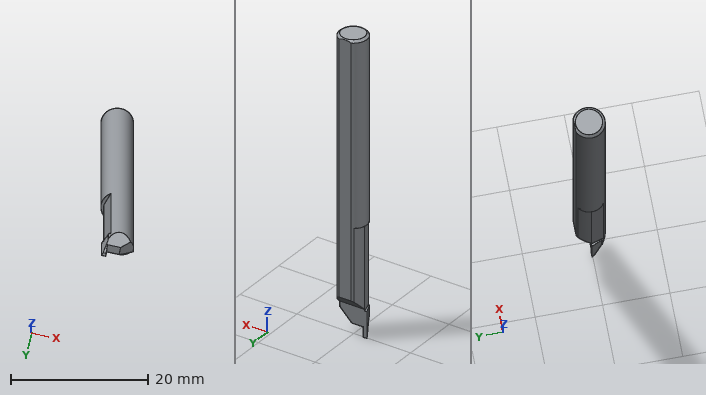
import cadquery as cq
import math

TOTAL_LENGTH = 50.8
SHANK_RADIUS = 2.4
FLAT_Y = 2.15
END_CHAMFER_RADIAL = 0.4
END_CHAMFER_HEIGHT = 0.35

NECK_TOP = 19.15
NECK_BOTTOM = 4.5
NECK_X = -2.0
NECK_END_X = -1.4
NECK_END_Y = math.sqrt(SHANK_RADIUS**2 - NECK_END_X**2)
NECK_BOW = NECK_END_X - NECK_X
NECK_ARC_RADIUS = (NECK_BOW**2 + NECK_END_Y**2) / (2 * NECK_BOW)
NECK_MID_Y = NECK_END_Y / 2
NECK_MID_X = NECK_X + NECK_ARC_RADIUS - math.sqrt(NECK_ARC_RADIUS**2 - NECK_MID_Y**2)

RAKE_TOP = 4.8
TIP_INNER_X = -1.75
TIP_SIDE_END_X = TIP_INNER_X
TIP_SIDE_END_Y = -1.5
TIP_LAND_Y = -0.4
TIP_LAND_Z = 0.15
BODY_BOTTOM = 1.75
CORNER_START_X = 0.25
FRONT_SLANT_TOP = 4.35

MARGIN = 0.5
OUTSIDE = SHANK_RADIUS + MARGIN


def prism_along_z(profile, bottom, top):
    """Extrude a closed XY profile between two heights."""
    return profile.close().extrude(top - bottom).translate((0, 0, bottom))


def make_shank():
    bar = cq.Workplane("XY").circle(SHANK_RADIUS).extrude(TOTAL_LENGTH)
    bar = bar.faces(">Z").chamfer(END_CHAMFER_HEIGHT, END_CHAMFER_RADIAL)
    flat = cq.Workplane("XY").box(
        2 * OUTSIDE, MARGIN, TOTAL_LENGTH, centered=(True, False, False)
    )
    return bar.cut(flat.translate((0, FLAT_Y, 0)))


def neck_cutter():
    """Bowed on the +Y half, flat and sloping inward on the -Y half."""
    profile = (
        cq.Workplane("XY")
        .moveTo(-OUTSIDE, -NECK_END_Y)
        .lineTo(NECK_END_X, -NECK_END_Y)
        .lineTo(NECK_X, 0)
        .threePointArc((NECK_MID_X, NECK_MID_Y), (NECK_END_X, NECK_END_Y))
        .lineTo(-OUTSIDE, NECK_END_Y)
    )
    return prism_along_z(profile, NECK_BOTTOM, NECK_TOP)


def tip_side_cutter():
    """Clearance behind the cutting edge, on the -X side of the tip."""
    profile = (
        cq.Workplane("XY")
        .moveTo(-SHANK_RADIUS, 0)
        .lineTo(TIP_SIDE_END_X, TIP_SIDE_END_Y)
        .lineTo(TIP_SIDE_END_X, -OUTSIDE)
        .lineTo(-OUTSIDE, -OUTSIDE)
        .lineTo(-OUTSIDE, 0)
    )
    return prism_along_z(profile, 0, NECK_BOTTOM)


def rake_cutter():
    """Removes the +Y half at the tip, running out at 45 degrees."""
    return (
        cq.Workplane("YZ")
        .moveTo(0, -MARGIN)
        .lineTo(0, RAKE_TOP)
        .lineTo(OUTSIDE, RAKE_TOP + OUTSIDE)
        .lineTo(OUTSIDE, -MARGIN)
        .close()
        .extrude(OUTSIDE, both=True)
    )


def front_slant_cutter():
    """Slopes the -Y side down to a narrow land under the cutting edge."""
    slope = (FRONT_SLANT_TOP - TIP_LAND_Z) / (SHANK_RADIUS + TIP_LAND_Y)
    return (
        cq.Workplane("YZ")
        .moveTo(0, 0)
        .lineTo(TIP_LAND_Y, TIP_LAND_Z)
        .lineTo(-OUTSIDE, FRONT_SLANT_TOP + slope * MARGIN)
        .lineTo(-OUTSIDE, -MARGIN)
        .lineTo(0, -MARGIN)
        .close()
        .extrude(OUTSIDE, both=True)
    )


def bottom_cutter():
    """Leaves only the narrow tip below the body and cuts the +X corner at 45 degrees."""
    return (
        cq.Workplane("XZ")
        .moveTo(TIP_INNER_X, -MARGIN)
        .lineTo(TIP_INNER_X, BODY_BOTTOM)
        .lineTo(CORNER_START_X, BODY_BOTTOM)
        .lineTo(OUTSIDE, BODY_BOTTOM + OUTSIDE - CORNER_START_X)
        .lineTo(OUTSIDE, -MARGIN)
        .close()
        .extrude(OUTSIDE, both=True)
    )


result = make_shank()
for cutter in (
    neck_cutter(),
    rake_cutter(),
    tip_side_cutter(),
    front_slant_cutter(),
    bottom_cutter(),
):
    result = result.cut(cutter)